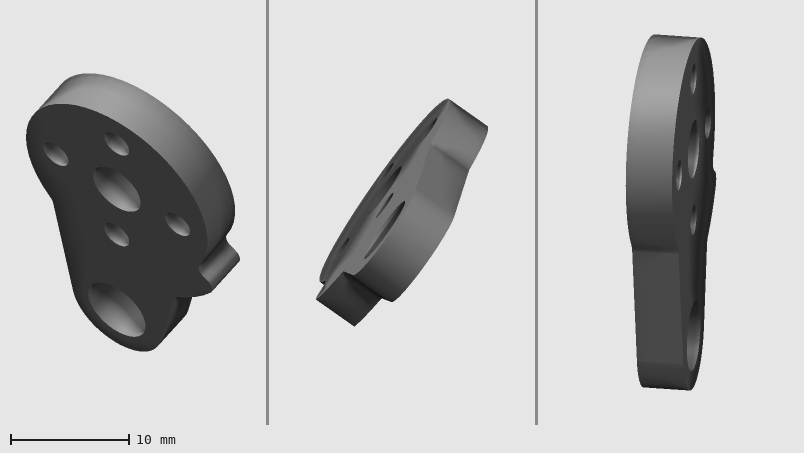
import cadquery as cq
import math

thickness = 4.0
disc_radius = 9.5
pivot_drop = 16.85
pivot_end_radius = 4.65
leg_taper = math.radians(11)
leg_height = 11.15

tooth_radius = 12.0
tooth_angle = math.radians(-30)
corner_radius = 1.0

center_bore = 5.0
pivot_bore = 6.0
bolt_hole = 2.6
bolt_circle_radius = 6.35
bolt_count = 4


def cylinder(radius, x=0, z=0):
    """Cylinder along Y, spanning the plate thickness."""
    return cq.Workplane("XZ").center(x, z).circle(radius).extrude(thickness / 2, both=True)


def make_leg():
    """Tapered leg whose straight sides are tangent to its round end."""
    tangent_x = pivot_end_radius * math.cos(leg_taper)
    tangent_z = -pivot_drop - pivot_end_radius * math.sin(leg_taper)
    top_z = -pivot_drop + leg_height
    top_x = tangent_x + (top_z - tangent_z) * math.tan(leg_taper)
    return (
        cq.Workplane("XZ")
        .moveTo(-top_x, top_z)
        .lineTo(-tangent_x, tangent_z)
        .threePointArc((0, -pivot_drop - pivot_end_radius), (tangent_x, tangent_z))
        .lineTo(top_x, top_z)
        .close()
        .extrude(thickness / 2, both=True)
    )


def make_tooth():
    """Sector about the disc axis, from its radial face down to the leg."""
    def rim(angle):
        return (tooth_radius * math.cos(angle), tooth_radius * math.sin(angle))

    end_angle = -math.pi / 2
    return (
        cq.Workplane("XZ")
        .lineTo(*rim(tooth_angle))
        .threePointArc(rim((tooth_angle + end_angle) / 2), rim(end_angle))
        .close()
        .extrude(thickness / 2, both=True)
    )


def leg_side_crossing(radius):
    """Point where the right leg side crosses a circle about the disc axis."""
    offset = pivot_end_radius + pivot_drop * math.sin(leg_taper)
    along = math.sqrt(radius**2 - offset**2)
    x = offset * math.cos(leg_taper) - along * math.sin(leg_taper)
    z = -offset * math.sin(leg_taper) - along * math.cos(leg_taper)
    return x, z


def round_corner(body, x, z):
    """Round the through-thickness edge nearest to the given corner."""
    edge = cq.selectors.NearestToPointSelector((x, 0, z))
    return body.edges("|Y").edges(edge).fillet(corner_radius)


plate = cylinder(disc_radius).union(make_leg()).union(make_tooth())

for radius in (disc_radius, tooth_radius):
    plate = round_corner(plate, radius * math.cos(tooth_angle), radius * math.sin(tooth_angle))

plate = round_corner(plate, *leg_side_crossing(tooth_radius))
left_x, left_z = leg_side_crossing(disc_radius)
plate = round_corner(plate, -left_x, left_z)

plate = plate.cut(cylinder(center_bore / 2))
plate = plate.cut(cylinder(pivot_bore / 2, z=-pivot_drop))
for index in range(bolt_count):
    angle = 2 * math.pi * index / bolt_count
    bolt_x = bolt_circle_radius * math.cos(angle)
    bolt_z = bolt_circle_radius * math.sin(angle)
    plate = plate.cut(cylinder(bolt_hole / 2, bolt_x, bolt_z))

result = plate